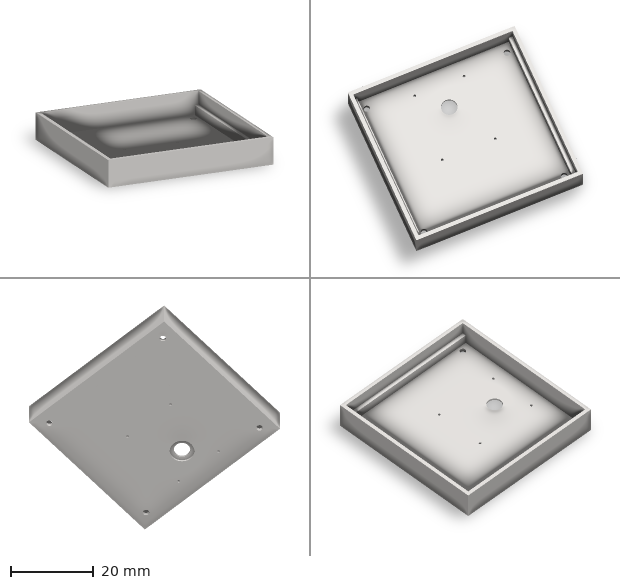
import cadquery as cq

length_x = 42.0
width_y = 44.0
height = 7.0
wall = 1.0
floor = 1.0

ledge_width = 1.0
ledge_top = 3.5

corner_hole_diameter = 1.6
corner_hole_x = 17.5
corner_hole_y = 18.5
cable_hole_diameter = 4.0
cable_hole_x = 10.0
cable_recess_diameter = 6.0
cable_lip_thickness = 0.5
pin_hole_diameter = 0.65
inner_pin_x = -2.0
inner_pin_y = 7.0
outer_pin_x = 16.0
outer_pin_y = 6.5

cavity_x = length_x - 2 * wall
cavity_y = width_y - 2 * wall


def block(size_x, size_y, bottom, top):
    """Box centred on the Z axis between two heights."""
    base = cq.Workplane("XY").workplane(offset=bottom)
    return base.rect(size_x, size_y).extrude(top - bottom)


def floor_holes(points, diameter, depth=floor):
    """Cylinders rising from the underside, through the whole floor by default."""
    return cq.Workplane("XY").pushPoints(points).circle(diameter / 2).extrude(depth)


def mirrored_in_y(x, y):
    return [(x, -y), (x, y)]


tray = block(length_x, width_y, 0, height)
tray = tray.cut(block(cavity_x, cavity_y, ledge_top, height))
tray = tray.cut(block(cavity_x, cavity_y - 2 * ledge_width, floor, ledge_top))

corner_points = mirrored_in_y(-corner_hole_x, corner_hole_y) + mirrored_in_y(corner_hole_x, corner_hole_y)
pin_points = mirrored_in_y(inner_pin_x, inner_pin_y) + mirrored_in_y(outer_pin_x, outer_pin_y)

tray = tray.cut(floor_holes(corner_points, corner_hole_diameter))
tray = tray.cut(floor_holes(pin_points, pin_hole_diameter))
tray = tray.cut(floor_holes([(cable_hole_x, 0)], cable_hole_diameter))

recess_depth = floor - cable_lip_thickness
tray = tray.cut(floor_holes([(cable_hole_x, 0)], cable_recess_diameter, recess_depth))

result = tray